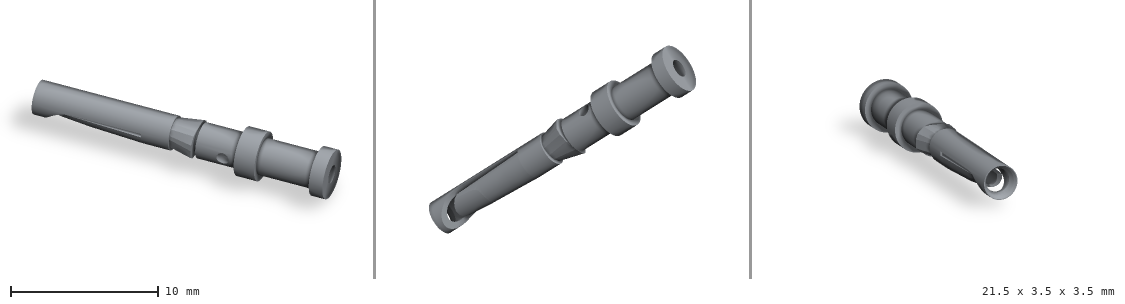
import math
import cadquery as cq


LENGTH = 21.5
BARREL_END = 10.0
COLLAR_END = 11.75
BODY_START = 12.0
FLANGE_START = 15.0
FLANGE_END = 16.5
END_RING_START = 20.5

BARREL_D = 2.45
NECK_D = 1.8
BODY_D = 2.55
FLANGE_D = 3.5
SHANK_D = 2.6

SOCKET_D = 1.7
SOCKET_DEPTH = 9.0
MOUTH_D = 2.34
MOUTH_MID_D = 2.06
MOUTH_MID_DEPTH = 0.2
MOUTH_DEPTH = 0.6
DRILL_POINT_ANGLE = 118.0

WIRE_BORE_D = 1.3
WIRE_BORE_START = 13.2
INSPECTION_D = 0.9
INSPECTION_X = 14.0

SLOT_END = 8.0
SLOT_TOP = 0.24
WINDOW_START = 0.48
RAMP_ANGLE = 45.0
WINDOW_BEND_R = 2.4

TINE_TIP_X = 2.3
TINE_TAPER = 0.045
TINE_TIP_BORE_R = 0.57
TINE_TOP = -0.04
BEND_X = 4.2
BEND_ANGLE = 7.0
BEND_RADIUS = 1.08

COLLAR_FRONT = [
    (0, 1.08), (0.25, 1.05), (0.68, 0.88), (0.95, 0.50),
    (1.03, 0.24), (1.00, -0.43), (0.80, -0.65), (0.25, -0.90), (0, -0.90),
]
COLLAR_REAR = [
    (0, 1.08), (0.50, 1.08), (0.92, 1.00), (1.40, 0.57),
    (1.52, 0.17), (1.52, -0.46), (1.15, -0.78), (0.50, -0.92), (0, -0.92),
]


def cylinder(diameter, start, end):
    """Solid cylinder on the X axis."""
    return cq.Workplane("YZ", origin=(start, 0, 0)).circle(diameter / 2).extrude(end - start)


def revolve_x(points):
    """Solid of revolution about the X axis from (x, radius) points."""
    return cq.Workplane("XY").polyline(points).close().revolve(360, (0, 0, 0), (1, 0, 0))


def extrude_across(profile):
    """Extrude an XZ profile right across the part, evenly to both sides of Y = 0."""
    return profile.close().extrude(FLANGE_D, both=True)


def drill_point(diameter):
    """Length of the conical point left by a drill."""
    return diameter / 2 / math.tan(math.radians(DRILL_POINT_ANGLE / 2))


def turned_body():
    steps = [
        (BARREL_D, 0, BARREL_END),
        (NECK_D, BARREL_END, BODY_START),
        (BODY_D, BODY_START, FLANGE_START),
        (FLANGE_D, FLANGE_START, FLANGE_END),
        (SHANK_D, FLANGE_END, END_RING_START),
        (FLANGE_D, END_RING_START, LENGTH),
    ]
    body = cylinder(*steps[0])
    for step in steps[1:]:
        body = body.union(cylinder(*step))
    return body


def collar():
    def full_outline(half):
        mirrored = [(-y, z) for y, z in reversed(half[1:-1])]
        return half + mirrored

    return (
        cq.Workplane("YZ", origin=(BARREL_END, 0, 0))
        .polyline(full_outline(COLLAR_FRONT)).close()
        .workplane(offset=COLLAR_END - BARREL_END)
        .polyline(full_outline(COLLAR_REAR)).close()
        .loft(ruled=True)
    )


def socket_bore():
    return revolve_x([
        (0, 0),
        (0, MOUTH_D / 2),
        (MOUTH_MID_DEPTH, MOUTH_MID_D / 2),
        (MOUTH_DEPTH, SOCKET_D / 2),
        (SOCKET_DEPTH, SOCKET_D / 2),
        (SOCKET_DEPTH + drill_point(SOCKET_D), 0),
    ])


def wire_bore():
    return revolve_x([
        (LENGTH, 0),
        (LENGTH, WIRE_BORE_D / 2),
        (WIRE_BORE_START, WIRE_BORE_D / 2),
        (WIRE_BORE_START - drill_point(WIRE_BORE_D), 0),
    ])


def inspection_hole():
    return (
        cq.Workplane("XZ", origin=(INSPECTION_X, 0, 0))
        .circle(INSPECTION_D / 2).extrude(BODY_D)
    )


def barrel_window():
    """Lower-half cut: a 45 degree ramp that rolls into the straight top of the slot."""
    below = -BARREL_D
    ramp_offset = WINDOW_START + BARREL_D / 2
    corner_x = ramp_offset + SLOT_TOP
    half_turn = math.radians(RAMP_ANGLE / 2)
    tangent = WINDOW_BEND_R * math.tan(half_turn)
    diagonal = tangent * math.cos(math.radians(RAMP_ANGLE))
    bend_center = (corner_x + tangent, SLOT_TOP - WINDOW_BEND_R)
    bend_middle = (
        bend_center[0] - WINDOW_BEND_R * math.sin(half_turn),
        bend_center[1] + WINDOW_BEND_R * math.cos(half_turn),
    )
    return extrude_across(
        cq.Workplane("XZ")
        .moveTo(ramp_offset + below, below)
        .lineTo(corner_x - diagonal, SLOT_TOP - diagonal)
        .threePointArc(bend_middle, (corner_x + tangent, SLOT_TOP))
        .lineTo(SLOT_END, SLOT_TOP)
        .lineTo(SLOT_END, below)
    )


def tine():
    """Half-shell tongue tapering from the slot end, its tip cut at 45 degrees and bent upwards."""
    reach = TINE_TIP_X - BARREL_D / 2
    tip_outer_r = BARREL_D / 2 - TINE_TAPER * (SLOT_END - reach)
    shell = revolve_x([
        (SLOT_END, SOCKET_D / 2),
        (SLOT_END, BARREL_D / 2),
        (reach, tip_outer_r),
        (reach, TINE_TIP_BORE_R),
    ])
    lower_half = extrude_across(
        cq.Workplane("XZ")
        .moveTo(TINE_TIP_X, TINE_TOP)
        .lineTo(SLOT_END, TINE_TOP)
        .lineTo(SLOT_END, -BARREL_D)
        .lineTo(TINE_TIP_X - BARREL_D - TINE_TOP, -BARREL_D)
    )
    bend_bottom_r = BARREL_D / 2 - TINE_TAPER * (SLOT_END - BEND_X)
    bend_envelope = (
        cq.Workplane("YZ")
        .circle(BEND_RADIUS).extrude(2 * SLOT_END, both=True)
        .rotate((0, 0, 0), (0, 1, 0), BEND_ANGLE)
        .translate((BEND_X, 0, BEND_RADIUS / math.cos(math.radians(BEND_ANGLE)) - bend_bottom_r))
    )
    bend_waste = cylinder(FLANGE_D, 0, BEND_X).cut(bend_envelope)
    return shell.intersect(lower_half).cut(bend_waste)


result = (
    turned_body()
    .union(collar())
    .cut(socket_bore())
    .cut(wire_bore())
    .cut(inspection_hole())
    .cut(barrel_window())
    .union(tine())
)